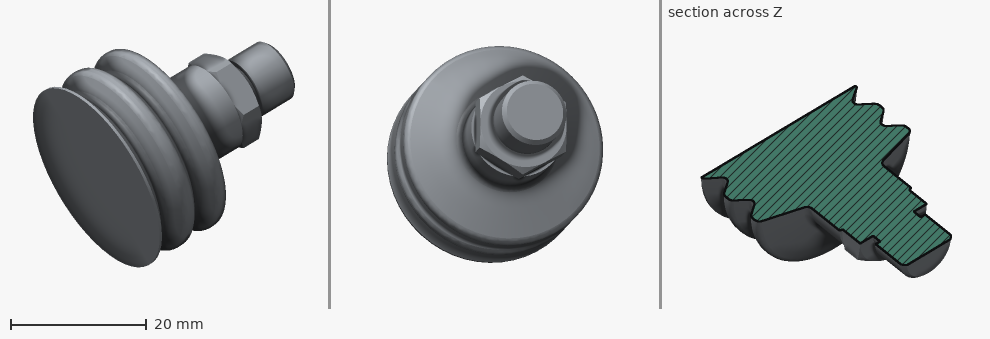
import cadquery as cq
import math

length = 34.0
cup_radius = 30.0 / 2

lip_height = 0.45
lower_groove_height = 2.65
lower_groove_radius = 11.85
lower_fold_start = 4.95
lower_fold_end = 6.6
upper_groove_height = 8.85
upper_groove_radius = 12.05
upper_fold_start = 11.1
upper_fold_end = 12.75
collar_radius = 14.0 / 2
collar_start = 15.0
collar_end = 22.0
fold_rounding = 1.0
groove_rounding = 0.78
collar_rounding = 1.0

hex_across_flats = 13.0
hex_end = 26.0
hex_chamfer_angle = 30.0
hex_corner_radius = hex_across_flats / 2 / math.cos(math.radians(30))
hex_chamfer_radius = hex_across_flats / 2

neck_radius = 8.0 / 2
neck_end = 27.5
stud_radius = 9.72 / 2
stud_chamfer = 0.6


def turned(profile):
    """Revolve a (radius, distance along Y) profile about the Y axis."""
    return cq.Workplane("XY").polyline(profile).close().revolve(360, (0, 0, 0), (0, 1, 0))


def round_rings(body, rings, rounding):
    """Fillet the circular edges given as (radius, distance along Y)."""
    tolerance = 0.005
    for radius, height in rings:
        box = cq.selectors.BoxSelector(
            (-radius - tolerance, height - tolerance, -radius - tolerance),
            (radius + tolerance, height + tolerance, radius + tolerance),
            boundingbox=True,
        )
        body = body.edges(box).edges("%CIRCLE").fillet(rounding)
    return body


def make_cup():
    lower_groove = (lower_groove_radius, lower_groove_height)
    upper_groove = (upper_groove_radius, upper_groove_height)
    folds = [
        (cup_radius, lower_fold_start),
        (cup_radius, lower_fold_end),
        (cup_radius, upper_fold_start),
        (cup_radius, upper_fold_end),
    ]
    collar_root = (collar_radius, collar_start)
    body = turned([
        (0, 0),
        (cup_radius, 0),
        (cup_radius, lip_height),
        lower_groove,
        *folds[:2],
        upper_groove,
        *folds[2:],
        collar_root,
        (collar_radius, collar_end),
        (0, collar_end),
    ])
    body = round_rings(body, [lower_groove, upper_groove], groove_rounding)
    body = round_rings(body, folds, fold_rounding)
    return round_rings(body, [collar_root], collar_rounding)


def make_hexagon():
    corners = []
    for index in range(6):
        angle = math.radians(90 + 60 * index)
        corners.append((hex_corner_radius * math.cos(angle), hex_corner_radius * math.sin(angle)))
    prism = (
        cq.Workplane("XZ", origin=(0, collar_end, 0))
        .polyline(corners)
        .close()
        .extrude(collar_end - hex_end)
    )
    chamfer_height = (hex_corner_radius - hex_chamfer_radius) * math.tan(math.radians(hex_chamfer_angle))
    envelope = turned([
        (0, collar_end),
        (hex_chamfer_radius, collar_end),
        (hex_corner_radius, collar_end + chamfer_height),
        (hex_corner_radius, hex_end - chamfer_height),
        (hex_chamfer_radius, hex_end),
        (0, hex_end),
    ])
    return prism.intersect(envelope)


def make_stud():
    return turned([
        (0, hex_end),
        (neck_radius, hex_end),
        (neck_radius, neck_end),
        (stud_radius, neck_end),
        (stud_radius, length - stud_chamfer),
        (stud_radius - stud_chamfer, length),
        (0, length),
    ])


result = make_cup().union(make_hexagon()).union(make_stud())